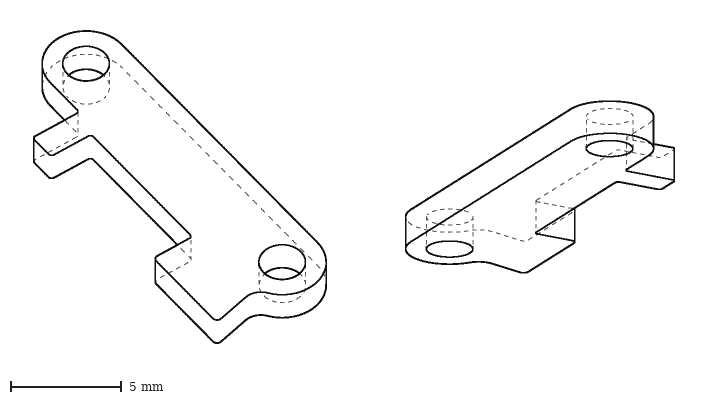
import cadquery as cq
import math

length = 18.99
depth = 6.63
thickness = 1.55

end_radius = 2.0
hole_diameter = 2.1
hole_pitch = length - 2 * end_radius

left_end = -end_radius
tab_left = left_end + 4.2
tab_right = left_end + 5.62
foot_left = left_end + 13.35
foot_right = left_end + 18.21
neck_x = left_end + 17.58

tab_bottom = end_radius - depth
foot_bottom = tab_bottom + 0.08
slot_top = end_radius - 4.37

small_radius = 0.17
foot_radius = 0.23
neck_radius = 0.91

neck_y = -math.sqrt(end_radius**2 - (neck_x - hole_pitch) ** 2)

outline = (
    cq.Workplane("XY")
    .moveTo(0, end_radius)
    .lineTo(hole_pitch, end_radius)
    .threePointArc((hole_pitch + end_radius, 0), (neck_x, neck_y))
    .lineTo(foot_right, foot_bottom)
    .lineTo(foot_left, foot_bottom)
    .lineTo(foot_left, slot_top)
    .lineTo(tab_right, slot_top)
    .lineTo(tab_right, tab_bottom)
    .lineTo(tab_left, tab_bottom)
    .lineTo(tab_left, -end_radius)
    .lineTo(0, -end_radius)
    .threePointArc((left_end, 0), (0, end_radius))
    .close()
)
plate = outline.extrude(thickness)


def round_corners(body, corners, radius):
    """Fillet the vertical edges that stand at the given corners."""
    for x, y in corners:
        edge = cq.selectors.NearestToPointSelector((x, y, thickness / 2))
        body = body.edges("|Z").edges(edge).fillet(radius)
    return body


small_corners = [
    (tab_left, -end_radius),
    (tab_left, tab_bottom),
    (tab_right, tab_bottom),
    (tab_right, slot_top),
    (foot_left, slot_top),
]
foot_corners = [(foot_left, foot_bottom), (foot_right, foot_bottom)]

plate = round_corners(plate, small_corners, small_radius)
plate = round_corners(plate, foot_corners, foot_radius)
plate = round_corners(plate, [(neck_x, neck_y)], neck_radius)

holes = (
    cq.Workplane("XY")
    .pushPoints([(0, 0), (hole_pitch, 0)])
    .circle(hole_diameter / 2)
    .extrude(thickness)
)
result = plate.cut(holes)